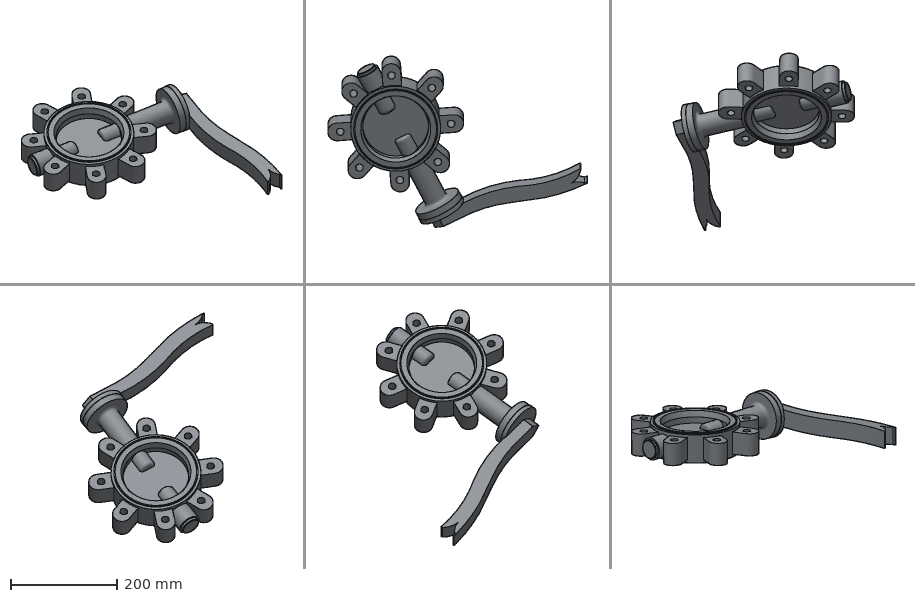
import cadquery as cq
import math


overall_length = 392.5

housing_radius = 85.0
housing_half_height = 28.0
rim_radius = 79.5
rim_half_height = 30.0
face_radius = 77.0
face_half_height = 29.0

bore_mouth_radius = 66.0
seat_radius = 62.0
seat_half_height = 17.3
disc_half_thickness = 5.0

lug_count = 8
lug_pitch = 360 / lug_count
lug_radius = 17.5
lug_end_distance = 110.7
lug_half_height = 22.0
lug_hole_distance = 105.0
lug_hole_diameter = 14.0

neck_radius = 21.5
neck_bottom = -118.0
flange_bottom = 172.5
flange_top = 185.7
flange_radius = 45.0
neck_fillet = 6.5
plug_radius = 18.0
plug_bottom = -124.0
plug_chamfer = 1.0

stem_radius = 17.3
upper_stem_tip = 26.0
upper_stem_fillet = 6.3
lower_stem_tip = -29.0
lower_stem_fillet = 7.5

lever_plate_radius = 46.0
lever_plate_top = 194.7
lever_half_width = 17.3
lever_point_x = -27.0
lever_bottom = 193.5
lever_top = 218.0
lever_end_x = overall_length - lug_end_distance * math.cos(math.radians(lug_pitch / 2)) - lug_radius
grip_top = 263.5
grip_bottom = 231.5

underside_bend_start = (35.5, lever_bottom)
underside_bend_middle = (102, 196.7)
underside_inflection = (154.5, 211.0)
underside_grip_middle = (212, 228.5)
upper_bend_start = (50.5, lever_top)
upper_bend_middle = (90.3, 223.0)
upper_bend_end = (124.0, 232.5)
upper_grip_start = (187.3, 253.2)
upper_grip_middle = (229.3, 261.0)

notch_lower_y = 234.8
notch_lower_middle = (258.7, 245.8)
notch_root = (245.5, 249.7)
notch_upper_middle = (256.0, 252.5)
notch_upper_end = (267, 260.5)


def rod(radius, y_start, y_end):
    """Cylinder on the Y axis between two heights."""
    plane = cq.Workplane("XZ", origin=(0, y_start, 0))
    return plane.circle(radius).extrude(y_start - y_end)


def disc_slab(radius, half_height):
    """Cylinder on the Z axis, symmetric about the middle plane."""
    return cq.Workplane("XY").circle(radius).extrude(half_height, both=True)


def make_lug(angle):
    """Round-ended lug pointing outwards at the given angle."""
    arm = cq.Workplane("XY").rect(lug_end_distance, 2 * lug_radius).extrude(lug_half_height, both=True)
    arm = arm.translate((lug_end_distance / 2, 0, 0))
    end = disc_slab(lug_radius, lug_half_height).translate((lug_end_distance, 0, 0))
    return arm.union(end).rotate((0, 0, 0), (0, 0, 1), angle)


def make_bore():
    """Through bore: a cylindrical seat with a conical mouth at each end."""
    profile = [
        (0, -face_half_height),
        (bore_mouth_radius, -face_half_height),
        (seat_radius, -seat_half_height),
        (seat_radius, seat_half_height),
        (bore_mouth_radius, face_half_height),
        (0, face_half_height),
    ]
    return cq.Workplane("XZ").polyline(profile).close().revolve(360, (0, 0, 0), (0, 1, 0))


def make_valve_body():
    lug_angles = [lug_pitch * (i + 0.5) for i in range(lug_count)]

    body = disc_slab(housing_radius, housing_half_height)
    body = body.union(disc_slab(rim_radius, rim_half_height))
    for angle in lug_angles:
        body = body.union(make_lug(angle))

    neck = rod(neck_radius, neck_bottom, flange_bottom)
    neck = neck.union(rod(flange_radius, flange_bottom, flange_top))
    neck = neck.edges(cq.selectors.BoxSelector(
        (-neck_radius - 4, flange_bottom - 0.5, -neck_radius - 4),
        (neck_radius + 4, flange_bottom + 0.5, neck_radius + 4), boundingbox=True)).fillet(neck_fillet)
    plug = rod(plug_radius, plug_bottom, neck_bottom).faces("<Y").chamfer(plug_chamfer)
    body = body.union(neck).union(plug)

    recess = disc_slab(face_radius, rim_half_height).cut(disc_slab(face_radius, face_half_height))
    body = body.cut(recess)

    body = body.cut(make_bore())
    body = body.union(disc_slab(seat_radius, disc_half_thickness))
    stem_root = (seat_radius + housing_radius) / 2
    upper_stem = rod(stem_radius, upper_stem_tip, stem_root).faces("<Y").edges().fillet(upper_stem_fillet)
    lower_stem = rod(stem_radius, -stem_root, lower_stem_tip).faces(">Y").edges().fillet(lower_stem_fillet)
    body = body.union(upper_stem).union(lower_stem)

    for angle in lug_angles:
        x = lug_hole_distance * math.cos(math.radians(angle))
        y = lug_hole_distance * math.sin(math.radians(angle))
        hole = disc_slab(lug_hole_diameter / 2, lug_half_height)
        body = body.cut(hole.translate((x, y, 0)))
    return body


def make_lever():
    bar = (
        cq.Workplane("XY")
        .moveTo(lever_point_x, lever_bottom)
        .lineTo(*underside_bend_start)
        .threePointArc(underside_bend_middle, underside_inflection)
        .threePointArc(underside_grip_middle, (lever_end_x, grip_bottom))
        .lineTo(lever_end_x, notch_lower_y)
        .threePointArc(notch_lower_middle, notch_root)
        .threePointArc(notch_upper_middle, notch_upper_end)
        .lineTo(lever_end_x, notch_upper_end[1])
        .lineTo(lever_end_x, grip_top)
        .threePointArc(upper_grip_middle, upper_grip_start)
        .lineTo(*upper_bend_end)
        .threePointArc(upper_bend_middle, upper_bend_start)
        .lineTo(lever_point_x, lever_top)
        .close()
        .extrude(lever_half_width, both=True)
    )
    tip = (
        cq.Workplane("XZ", origin=(0, flange_top, 0))
        .moveTo(lever_point_x, 0)
        .lineTo(lever_point_x + lever_half_width, lever_half_width)
        .lineTo(lever_end_x, lever_half_width)
        .lineTo(lever_end_x, -lever_half_width)
        .lineTo(lever_point_x + lever_half_width, -lever_half_width)
        .close()
        .extrude(flange_top - grip_top)
    )
    return rod(lever_plate_radius, flange_top, lever_plate_top).union(bar.intersect(tip))


valve_body = make_valve_body()
lever = make_lever()

result = cq.Compound.makeCompound([valve_body.val(), lever.val()])